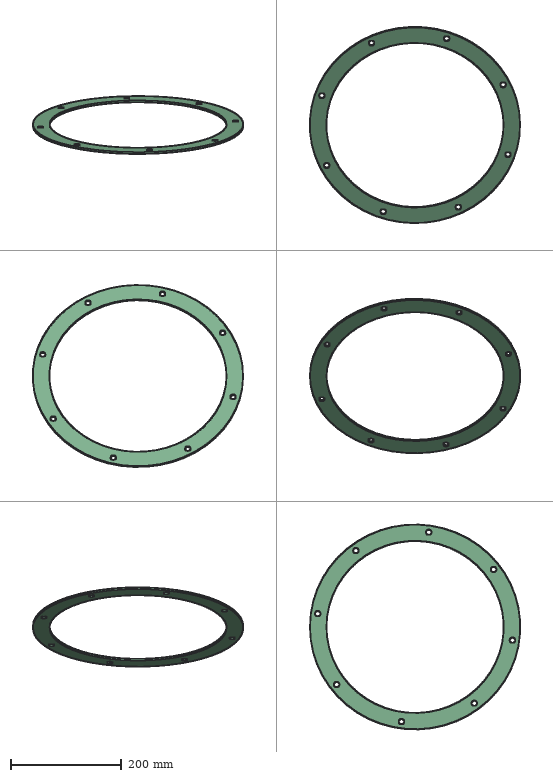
import cadquery as cq

outer_diameter = 381.0
inner_diameter = 320.5
thickness = 4.0

hole_count = 8
hole_diameter = 10.0
bolt_circle_diameter = 356.0

ring = (
    cq.Workplane("XY")
    .circle(outer_diameter / 2)
    .circle(inner_diameter / 2)
    .extrude(thickness)
)

bolt_holes = (
    cq.Workplane("XY")
    .polarArray(bolt_circle_diameter / 2, 0, 360, hole_count)
    .circle(hole_diameter / 2)
    .extrude(thickness)
)

result = ring.cut(bolt_holes)